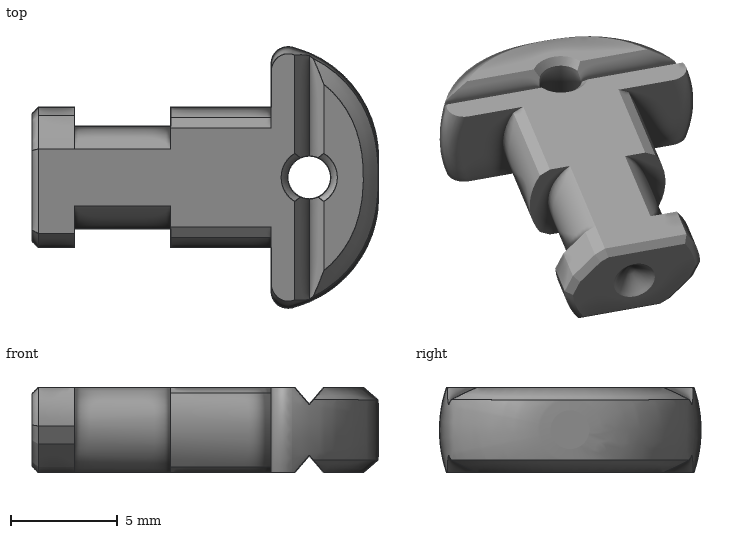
import cadquery as cq
import math

length = 16.25
thickness = 4.0
half_thickness = thickness / 2

shank_radius = 3.3
neck_radius = 2.4
collar_end = 2.0
neck_end = 6.5
head_start = 11.21
end_chamfer = 0.31
centre_drill_diameter = 2.0
centre_drill_angle = 90.0

bevel_height = 0.26
bevel_width = 0.49

corner_cut_run = 1.07
corner_cut_drop = 0.18

crown_radius = 5.36
nose_flat_radius = 0.91
heel_fillet = 0.8
rim_chamfer = 0.6

groove_x = 13.0
groove_depth = 0.8
groove_half_width = 0.68
hole_diameter = 2.0
countersink_diameter = 2.63


def circle_height(radius, offset):
    """Return the distance from the axis to a circle's edge at a given offset."""
    return math.sqrt(radius**2 - offset**2)


def slab():
    """The space between the flat top and bottom of the part."""
    return cq.Workplane("XY").box(2 * length, 2 * length, thickness)


def on_arc(centre_x, centre_y, radius, angle):
    """Return the point at a given angle on an arc, in radians from +X."""
    return centre_x + radius * math.cos(angle), centre_y + radius * math.sin(angle)


def turned_half_way(point):
    """Return a cross-section point turned 180 degrees about the part's axis."""
    return -point[0], -point[1]


def make_collar():
    neck_flat_y = circle_height(neck_radius, half_thickness)
    bevel_y = neck_flat_y + bevel_width
    bevel_z = half_thickness - bevel_height
    arc_start_z = -corner_cut_drop
    arc_middle_z = (arc_start_z - half_thickness) / 2

    top_flat_end = (neck_flat_y, half_thickness)
    cut_start = (bevel_y, bevel_z)
    cut_end = (bevel_y + corner_cut_run, bevel_z - corner_cut_run)
    arc_start = (circle_height(shank_radius, arc_start_z), arc_start_z)
    arc_middle = (circle_height(shank_radius, arc_middle_z), arc_middle_z)
    arc_end = (circle_height(shank_radius, half_thickness), -half_thickness)

    outline = (
        cq.Workplane("YZ")
        .moveTo(*top_flat_end)
        .lineTo(*cut_start)
        .lineTo(*cut_end)
        .lineTo(*arc_start)
        .threePointArc(arc_middle, arc_end)
        .lineTo(*turned_half_way(top_flat_end))
        .lineTo(*turned_half_way(cut_start))
        .lineTo(*turned_half_way(cut_end))
        .lineTo(*turned_half_way(arc_start))
        .threePointArc(turned_half_way(arc_middle), turned_half_way(arc_end))
        .close()
    )
    return outline.extrude(collar_end).faces("<X").chamfer(end_chamfer)


def make_neck():
    neck = cq.Workplane("YZ").workplane(offset=collar_end).circle(neck_radius).extrude(neck_end - collar_end)
    return neck.intersect(slab())


def make_shoulder():
    bevel_z = half_thickness - bevel_height
    bevel_y = circle_height(shank_radius, bevel_z)
    flat_y = bevel_y - bevel_width
    outline = (
        cq.Workplane("YZ")
        .workplane(offset=neck_end)
        .moveTo(-flat_y, half_thickness)
        .lineTo(flat_y, half_thickness)
        .lineTo(bevel_y, bevel_z)
        .threePointArc((shank_radius, 0), (bevel_y, -bevel_z))
        .lineTo(flat_y, -half_thickness)
        .lineTo(-flat_y, -half_thickness)
        .lineTo(-bevel_y, -bevel_z)
        .threePointArc((-shank_radius, 0), (-bevel_y, bevel_z))
        .close()
    )
    return outline.extrude(head_start - neck_end)


def make_head():
    crown_x = length - crown_radius
    crown_y = nose_flat_radius
    heel_x = head_start + heel_fillet
    heel_y = crown_y + circle_height(crown_radius - heel_fillet, heel_x - crown_x)
    tangent_angle = math.atan2(heel_y - crown_y, heel_x - crown_x)

    profile = (
        cq.Workplane("XY")
        .moveTo(head_start, 0)
        .lineTo(head_start, heel_y)
        .threePointArc(
            on_arc(heel_x, heel_y, heel_fillet, (math.pi + tangent_angle) / 2),
            on_arc(crown_x, crown_y, crown_radius, tangent_angle),
        )
        .threePointArc(
            on_arc(crown_x, crown_y, crown_radius, tangent_angle / 2),
            (length, nose_flat_radius),
        )
        .lineTo(length, 0)
        .close()
    )
    head = profile.revolve(360, (0, 0, 0), (1, 0, 0)).intersect(slab())

    crown_side = cq.Workplane("XY").box(length, length, length).translate((groove_x + length / 2, 0, 0))
    crown = head.intersect(crown_side)
    crown = crown.faces("|Z").edges("not(<X)").chamfer(rim_chamfer)
    return head.cut(crown_side).union(crown)


def make_groove(side):
    """V groove running along Y; side is 1 for the top and -1 for the bottom."""
    surface_z = side * half_thickness
    points = [
        (groove_x - groove_half_width, surface_z),
        (groove_x, surface_z - side * groove_depth),
        (groove_x + groove_half_width, surface_z),
    ]
    return cq.Workplane("XZ").polyline(points).close().extrude(length / 2, both=True)


def make_cross_hole():
    hole_radius = hole_diameter / 2
    sink_radius = countersink_diameter / 2
    sink_z = half_thickness - (sink_radius - hole_radius)
    section = (
        cq.Workplane("XZ", origin=(groove_x, 0, 0))
        .moveTo(0, -half_thickness)
        .lineTo(sink_radius, -half_thickness)
        .lineTo(hole_radius, -sink_z)
        .lineTo(hole_radius, sink_z)
        .lineTo(sink_radius, half_thickness)
        .lineTo(0, half_thickness)
        .close()
    )
    return section.revolve(360, (0, 0, 0), (0, 1, 0))


def make_centre_drill():
    radius = centre_drill_diameter / 2
    depth = radius / math.tan(math.radians(centre_drill_angle / 2))
    section = cq.Workplane("XY").polyline([(0, 0), (0, radius), (depth, 0)]).close()
    return section.revolve(360, (0, 0, 0), (1, 0, 0))


result = make_collar().union(make_neck()).union(make_shoulder()).union(make_head())
for side in (1, -1):
    result = result.cut(make_groove(side))
result = result.cut(make_cross_hole()).cut(make_centre_drill())